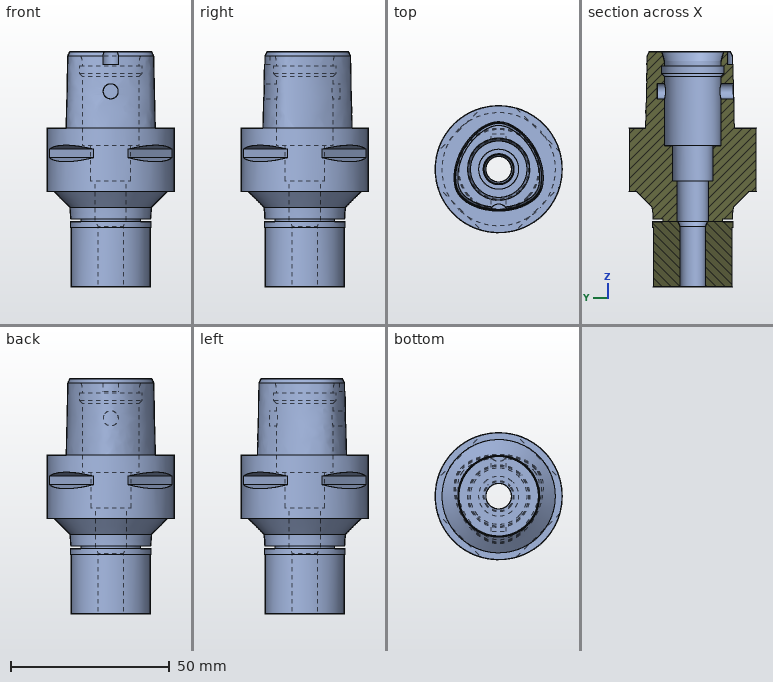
import cadquery as cq
import math

total_height = 74.0
shank_edge_z = 72.7
collar_top_z = 49.95
collar_bottom_z = 30.0
cone_bottom_z = 25.0
nose_bottom_z = 21.3
nut_top_z = 20.5
flange_bottom_z = 18.65

collar_diameter = 40.0
collar_radius = collar_diameter / 2
cone_top_radius = 17.8
cone_bottom_radius = 12.9
nose_bottom_radius = 12.6
neck_radius = 9.4

shank_base_radius = 14.05
shank_edge_radius = 13.55
shank_tip_radius = 12.9
lobe_rise = 0.9
outline_points = 48

bore_mouth_radius = 9.8
bore_radius = 8.9
lead_in_depth = 3.1
groove_top_depth = 4.6
groove_bottom_depth = 7.85
groove_radius = 9.85
bore_floor_z = 44.4
middle_bore_radius = 6.3
middle_bore_floor_z = 33.3
lower_bore_radius = 4.9

cross_hole_z = 61.5
cross_hole_radius = 2.4
cross_hole_end_y = 11.1
notch_radius = 2.75
notch_center_y = -13.7
notch_floor_z = 70.0

slot_count = 4
slot_z = 41.95
slot_floor_distance = 17.5
slot_floor_half_height = 1.3
slot_flank_slope = 0.5

nut_flange_radius = 12.7
nut_radius = 12.5
nut_hole_radius = 4.0
nut_mouth_radius = 4.6
nut_mouth_depth = 1.5


def revolve_profile(points):
    """Revolve a closed (radius, z) outline about the Z axis."""
    return cq.Workplane("XZ").polyline(points).close().revolve(360, (0, 0), (0, 1))


def lobed_wire(mean_radius, z):
    """Three-lobed outline of constant width, with one lobe pointing to +Y."""
    points = []
    for i in range(outline_points):
        angle = 2 * math.pi * i / outline_points
        lobe_angle = 3 * (angle - math.pi / 2)
        reach = mean_radius + lobe_rise * math.cos(lobe_angle)
        reach_slope = -3 * lobe_rise * math.sin(lobe_angle)
        x = reach * math.cos(angle) - reach_slope * math.sin(angle)
        y = reach * math.sin(angle) + reach_slope * math.cos(angle)
        points.append(cq.Vector(x, y, z))
    return cq.Wire.assembleEdges([cq.Edge.makeSpline(points, periodic=True)])


def make_shank():
    base = lobed_wire(shank_base_radius, collar_top_z)
    edge = lobed_wire(shank_edge_radius, shank_edge_z)
    tip = lobed_wire(shank_tip_radius, total_height)
    taper = cq.Solid.makeLoft([base, edge], True)
    tip_chamfer = cq.Solid.makeLoft([edge, tip], True)
    return cq.Workplane(taper).union(cq.Workplane(tip_chamfer))


def make_holder_bore():
    groove_top_z = total_height - groove_top_depth
    groove_bottom_z = total_height - groove_bottom_depth
    groove_flank_height = groove_radius - bore_radius
    return revolve_profile([
        (0, total_height),
        (bore_mouth_radius, total_height),
        (bore_radius, total_height - lead_in_depth),
        (bore_radius, groove_top_z),
        (groove_radius, groove_top_z),
        (groove_radius, groove_bottom_z + groove_flank_height),
        (bore_radius, groove_bottom_z),
        (bore_radius, bore_floor_z),
        (middle_bore_radius, bore_floor_z),
        (middle_bore_radius, middle_bore_floor_z),
        (lower_bore_radius, middle_bore_floor_z),
        (lower_bore_radius, nut_top_z),
        (0, nut_top_z),
    ])


def make_gripper_slot(angle):
    """Straight trapezoidal slot cutter, widening outward from its flat floor."""
    slot_depth = collar_radius - slot_floor_distance
    mouth_half_height = slot_floor_half_height + slot_flank_slope * slot_depth
    return (
        cq.Workplane("XZ")
        .polyline([
            (slot_floor_distance, slot_z - slot_floor_half_height),
            (collar_radius, slot_z - mouth_half_height),
            (collar_radius, slot_z + mouth_half_height),
            (slot_floor_distance, slot_z + slot_floor_half_height),
        ])
        .close()
        .extrude(collar_radius, both=True)
        .rotate((0, 0, 0), (0, 0, 1), angle)
    )


def make_cross_hole():
    """Hole from the -Y side across the bore, ending blind in the +Y wall."""
    return (
        cq.Workplane("XZ", origin=(0, cross_hole_end_y, 0))
        .center(0, cross_hole_z)
        .circle(cross_hole_radius)
        .extrude(cross_hole_end_y + collar_radius)
    )


def make_key_notch():
    return (
        cq.Workplane("XY", origin=(0, notch_center_y, notch_floor_z))
        .circle(notch_radius)
        .extrude(total_height - notch_floor_z)
    )


def make_holder():
    body = revolve_profile([
        (0, collar_top_z),
        (collar_radius, collar_top_z),
        (collar_radius, collar_bottom_z),
        (cone_top_radius, collar_bottom_z),
        (cone_bottom_radius, cone_bottom_z),
        (nose_bottom_radius, nose_bottom_z),
        (neck_radius, nose_bottom_z),
        (neck_radius, nut_top_z),
        (0, nut_top_z),
    ])
    body = body.union(make_shank()).cut(make_holder_bore())
    body = body.cut(make_cross_hole()).cut(make_key_notch())
    slot_step = 360 / slot_count
    for i in range(slot_count):
        body = body.cut(make_gripper_slot((i + 0.5) * slot_step))
    return body


def make_nut():
    """Flanged sleeve whose hole starts with a short cone at the top."""
    return revolve_profile([
        (nut_mouth_radius, nut_top_z),
        (nut_flange_radius, nut_top_z),
        (nut_flange_radius, flange_bottom_z),
        (nut_radius, flange_bottom_z),
        (nut_radius, 0),
        (nut_hole_radius, 0),
        (nut_hole_radius, nut_top_z - nut_mouth_depth),
    ])


holder = make_holder()
nut = make_nut()
result = cq.Compound.makeCompound([holder.solids().val(), nut.val()])